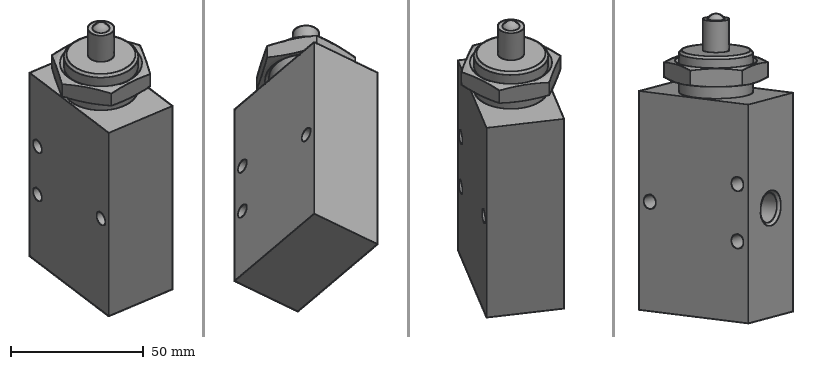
import cadquery as cq
import math

block_length = 50.0
block_width = 30.0
block_height = 84.0
plate_thickness = 10.0

neck_diameter = 28.0
neck_height = 16.0
neck_chamfer = 1.0
neck_top = block_height + neck_height

plunger_diameter = 10.0
plunger_height = 12.0
dome_diameter = 6.5
dome_height = 2.0
plunger_top = neck_top + plunger_height

mounting_hole_diameter = 5.5
mounting_hole_offset = 20.0
mounting_hole_spacing = 22.0

port_height = block_height / 2
port_diameter = 11.4
port_mouth_diameter = 13.6
port_chamfer = (port_mouth_diameter - port_diameter) / 2
port_depth = 12.0

nut_across_flats = 34.0
nut_across_corners = nut_across_flats / math.cos(math.radians(30))
nut_thickness = 7.0
nut_gap = 5.0
nut_rotation = 4.7
nut_corner_angle = 15.0
nut_countersink_diameter = 31.0
nut_countersink_angle = 45.0
nut_bottom = block_height + nut_gap


def make_block():
    """Stacked block; the joint lines of the end plates stay on its faces."""
    middle_height = block_height - 2 * plate_thickness
    block = None
    base = 0
    for height in (plate_thickness, middle_height, plate_thickness):
        section = (
            cq.Workplane("XY", origin=(0, 0, base))
            .box(block_length, block_width, height, centered=(True, True, False))
        )
        block = block.union(section, clean=False) if block else section
        base += height
    return block


def make_neck():
    return (
        cq.Workplane("XY", origin=(0, 0, block_height))
        .circle(neck_diameter / 2)
        .extrude(neck_height)
        .faces(">Z")
        .chamfer(neck_chamfer)
    )


def make_plunger():
    """Revolved rod whose tip is a spherical cap."""
    dome_radius = dome_diameter / 2
    sphere_radius = (dome_radius**2 + dome_height**2) / (2 * dome_height)
    half_angle = math.asin(dome_radius / sphere_radius) / 2
    sphere_center = plunger_top + dome_height - sphere_radius
    arc_middle = (
        sphere_radius * math.sin(half_angle),
        sphere_center + sphere_radius * math.cos(half_angle),
    )
    return (
        cq.Workplane("XZ")
        .moveTo(0, neck_top)
        .lineTo(plunger_diameter / 2, neck_top)
        .lineTo(plunger_diameter / 2, plunger_top)
        .lineTo(dome_radius, plunger_top)
        .threePointArc(arc_middle, (0, plunger_top + dome_height))
        .close()
        .revolve(360, (0, 0, 0), (0, 1, 0))
    )


def make_mounting_holes():
    """Cutters that run right through the block along Y."""
    positions = [
        (-mounting_hole_offset, port_height + mounting_hole_spacing / 2),
        (-mounting_hole_offset, port_height - mounting_hole_spacing / 2),
        (mounting_hole_offset, port_height),
    ]
    return (
        cq.Workplane("XZ")
        .pushPoints(positions)
        .circle(mounting_hole_diameter / 2)
        .extrude(block_width / 2, both=True)
    )


def make_port():
    """Blind bore cutter with a chamfered mouth on the -X side."""
    bore = (
        cq.Workplane("YZ", origin=(-block_length / 2, 0, port_height))
        .circle(port_diameter / 2)
        .extrude(port_depth)
    )
    mouth = (
        cq.Workplane("YZ", origin=(-block_length / 2, 0, port_height))
        .circle(port_mouth_diameter / 2)
        .workplane(offset=port_chamfer)
        .circle(port_diameter / 2)
        .loft()
    )
    return bore.union(mouth)


def make_housing():
    return (
        make_block()
        .union(make_neck(), clean=False)
        .union(make_plunger(), clean=False)
        .cut(make_mounting_holes(), clean=False)
        .cut(make_port(), clean=False)
    )


def make_nut_bore():
    """Cutter for the nut bore, countersunk at both ends."""
    bore_radius = neck_diameter / 2
    countersink_radius = nut_countersink_diameter / 2
    countersink_depth = (countersink_radius - bore_radius) / math.tan(math.radians(nut_countersink_angle))
    return (
        cq.Workplane("XZ")
        .moveTo(0, 0)
        .lineTo(countersink_radius, 0)
        .lineTo(bore_radius, countersink_depth)
        .lineTo(bore_radius, nut_thickness - countersink_depth)
        .lineTo(countersink_radius, nut_thickness)
        .lineTo(0, nut_thickness)
        .close()
        .revolve(360, (0, 0, 0), (0, 1, 0))
    )


def make_nut():
    """Hexagon with bevelled corners and a bore countersunk at both ends."""
    hexagon = (
        cq.Workplane("XY")
        .polygon(6, nut_across_corners)
        .extrude(nut_thickness)
        .rotate((0, 0, 0), (0, 0, 1), 30 + nut_rotation)
    )
    bevel_width = (nut_across_corners - nut_across_flats) / 2
    bevel_drop = bevel_width * math.tan(math.radians(nut_corner_angle))
    bevelled_disc = (
        cq.Workplane("XY")
        .circle(nut_across_corners / 2)
        .extrude(nut_thickness)
        .faces("<Z or >Z")
        .edges()
        .chamfer(bevel_drop, bevel_width)
    )
    return hexagon.intersect(bevelled_disc).cut(make_nut_bore()).translate((0, 0, nut_bottom))


housing = make_housing()
nut = make_nut()

result = cq.Compound.makeCompound([housing.solids().val(), nut.solids().val()])